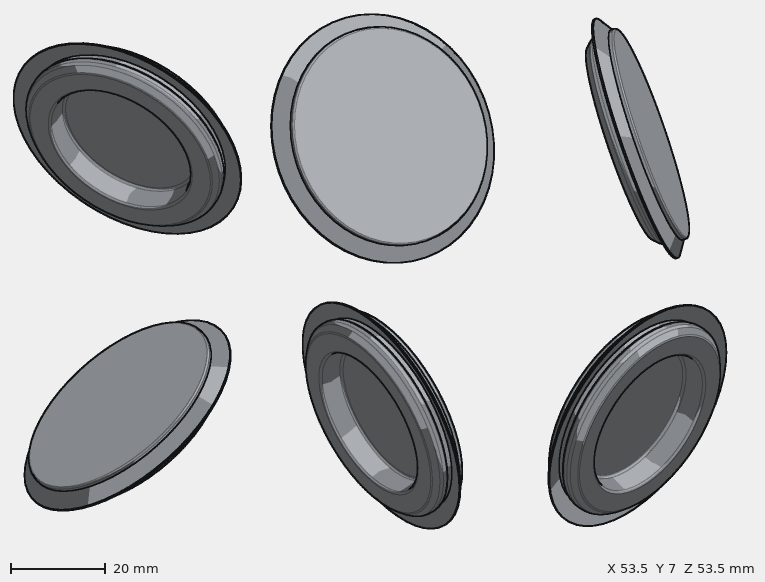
import cadquery as cq
import math

total_depth = 7.0
shoulder_depth = 3.5
flange_front = 3.35
flange_root = 4.75
flange_edge = 0.4
flange_cone_end = 5.95

flange_radius = 26.75
rear_radius = 23.5
front_radius = 23.0
front_face_radius = 21.45
front_bevel_depth = 1.6

face_rounding = 0.55
bevel_rounding = 1.05
rear_rounding = 0.4
shoulder_rounding = 0.55

recess_depth = 5.4
recess_mouth_radius = 16.5
recess_floor_radius = 16.0
recess_rounding = 0.55

selection_margin = 0.05


def circle_edge(radius, depth):
    """Select edges at the given depth that lie within the given radius."""
    return cq.selectors.BoxSelector(
        (-radius - selection_margin, depth - selection_margin, -radius - selection_margin),
        (radius + selection_margin, depth + selection_margin, radius + selection_margin),
        boundingbox=True,
    )


def make_body():
    neck_radius = front_radius - shoulder_rounding
    arc_offset = shoulder_rounding * math.sqrt(0.5)
    arc_middle = (
        neck_radius + arc_offset,
        shoulder_depth - shoulder_rounding + arc_offset,
    )
    body = (
        cq.Workplane("XY")
        .lineTo(front_face_radius, 0)
        .lineTo(front_radius, front_bevel_depth)
        .lineTo(front_radius, shoulder_depth - shoulder_rounding)
        .threePointArc(arc_middle, (neck_radius, shoulder_depth))
        .lineTo(neck_radius, flange_root)
        .lineTo(flange_radius, flange_front)
        .lineTo(flange_radius, flange_front + flange_edge)
        .lineTo(rear_radius, flange_cone_end)
        .lineTo(rear_radius, total_depth)
        .lineTo(0, total_depth)
        .close()
        .revolve(360, (0, 0, 0), (0, 1, 0))
    )
    body = body.edges(circle_edge(front_radius, front_bevel_depth)).fillet(bevel_rounding)
    body = body.edges(circle_edge(front_face_radius, 0)).fillet(face_rounding)
    return body.edges(circle_edge(rear_radius, total_depth)).fillet(rear_rounding)


def cut_recess(body):
    recess = (
        cq.Workplane("XY")
        .lineTo(recess_mouth_radius, 0)
        .lineTo(recess_floor_radius, recess_depth)
        .lineTo(0, recess_depth)
        .close()
        .revolve(360, (0, 0, 0), (0, 1, 0))
    )
    body = body.cut(recess)
    body = body.edges(circle_edge(recess_floor_radius, recess_depth)).fillet(recess_rounding)
    return body.edges(circle_edge(recess_mouth_radius, 0)).fillet(recess_rounding)


result = cut_recess(make_body())